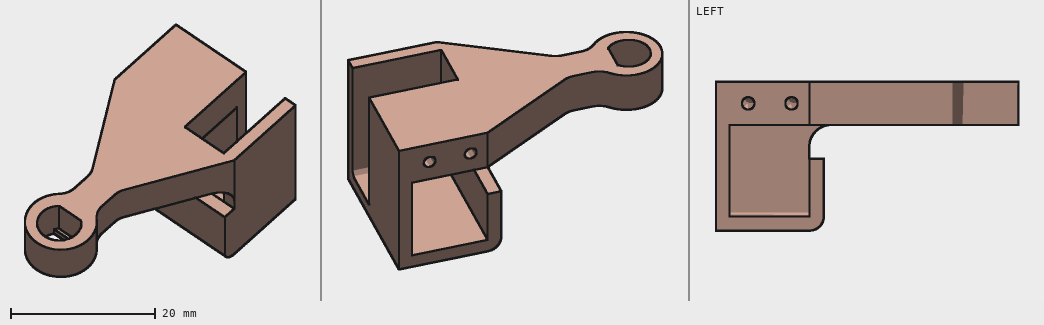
import cadquery as cq
import math

width = 22.0
length = 42.05
height = 20.7

plate_thickness = 6.0
shoulder_y = -13.0
taper_angle = math.radians(30)
neck_width = 5.0
ring_diameter = 10.0
blend_radius = 3.0

bore_diameter = 6.15
bore_offset = 0.35
flat_y = -35.05
ledge_y = -35.6
ledge_height = 1.0

rear_wall = 1.95
end_wall = 1.95
floor_thickness = 2.0
lip_thickness = 2.0
lip_height = 10.0
channel_depth = 15.0
corner_radius = 2.0
floor_fillet = 1.0

notch_width = 7.15

pilot_diameter = 1.72
pilot_depth = 5.9
pilot_tip_angle = math.radians(118)
pilot_positions_y = (-4.5, -10.5)

half_width = width / 2
plate_bottom = height - plate_thickness
ring_radius = ring_diameter / 2
ring_y = -length + ring_radius
end_wall_x = half_width - end_wall
notch_x = end_wall_x - notch_width
lip_inner_y = -channel_depth + lip_thickness


def box(x_range, y_range, z_range):
    """Box spanning the given (low, high) limits."""
    size = [high - low for low, high in (x_range, y_range, z_range)]
    corner = (x_range[0], y_range[0], z_range[0])
    return cq.Workplane("XY").box(*size, centered=False).translate(corner)


def arm_outline():
    """Closed plan outline: square shoulders, taper, neck and ring with tangent blends."""
    neck_x = neck_width / 2
    blend_x = neck_x + blend_radius

    taper_end_x = blend_x - blend_radius * math.cos(taper_angle)
    taper_end_y = shoulder_y - (half_width - taper_end_x) / math.tan(taper_angle)
    neck_top_y = taper_end_y - blend_radius * math.sin(taper_angle)
    upper_mid_x = blend_x - blend_radius * math.cos(taper_angle / 2)
    upper_mid_y = neck_top_y + blend_radius * math.sin(taper_angle / 2)

    center_distance = blend_radius + ring_radius
    ring_angle = math.acos(blend_x / center_distance)
    neck_bottom_y = ring_y + center_distance * math.sin(ring_angle)
    lower_mid_x = blend_x - blend_radius * math.cos(ring_angle / 2)
    lower_mid_y = neck_bottom_y - blend_radius * math.sin(ring_angle / 2)
    contact_x = ring_radius * math.cos(ring_angle)
    contact_y = ring_y + ring_radius * math.sin(ring_angle)

    return (
        cq.Workplane("XY")
        .moveTo(-half_width, 0)
        .lineTo(half_width, 0)
        .lineTo(half_width, shoulder_y)
        .lineTo(taper_end_x, taper_end_y)
        .threePointArc((upper_mid_x, upper_mid_y), (neck_x, neck_top_y))
        .lineTo(neck_x, neck_bottom_y)
        .threePointArc((lower_mid_x, lower_mid_y), (contact_x, contact_y))
        .threePointArc((0, -length), (-contact_x, contact_y))
        .threePointArc((-lower_mid_x, lower_mid_y), (-neck_x, neck_bottom_y))
        .lineTo(-neck_x, neck_top_y)
        .threePointArc((-upper_mid_x, upper_mid_y), (-taper_end_x, taper_end_y))
        .lineTo(-half_width, shoulder_y)
        .close()
    )


def arm_plate():
    return arm_outline().extrude(plate_thickness).translate((0, 0, plate_bottom))


def channel():
    """J-shaped rear wall, floor and front lip running the full width."""
    x_range = (-half_width, half_width)
    outer = box(x_range, (-channel_depth, 0), (0, plate_bottom))
    outer = outer.edges("|X and <Y and <Z").fillet(corner_radius)
    inner = box(x_range, (lip_inner_y, -rear_wall), (floor_thickness, plate_bottom))
    above_lip = box(x_range, (-channel_depth, lip_inner_y), (lip_height, plate_bottom))
    return outer.cut(inner).cut(above_lip)


def end_closure():
    """Wall closing the +X end, blended into the plate and trimmed to its outline."""
    blend_edge_y = shoulder_y - blend_radius
    blend_edge_z = plate_bottom - blend_radius
    arc_offset = blend_radius * (1 - math.sqrt(0.5))
    wall = (
        cq.Workplane("YZ")
        .moveTo(0, 0)
        .lineTo(0, plate_bottom)
        .lineTo(blend_edge_y, plate_bottom)
        .threePointArc((shoulder_y - arc_offset, plate_bottom - arc_offset), (shoulder_y, blend_edge_z))
        .lineTo(shoulder_y, 0)
        .close()
        .extrude(end_wall)
        .translate((end_wall_x, 0, 0))
    )
    return wall.intersect(arm_outline().extrude(plate_bottom))


def floor_blend():
    """Concave fillet between the floor and the end wall."""
    x_start = end_wall_x - floor_fillet
    z_end = floor_thickness + floor_fillet
    arc_run = floor_fillet * math.sqrt(0.5)
    return (
        cq.Workplane("XZ")
        .moveTo(x_start, floor_thickness)
        .threePointArc((x_start + arc_run, z_end - arc_run), (end_wall_x, z_end))
        .lineTo(end_wall_x, floor_thickness)
        .close()
        .extrude(-lip_inner_y)
    )


def notch():
    return box((notch_x, end_wall_x), (shoulder_y, 0), (floor_thickness, height))


def ring_bore():
    """Round bore limited by a rear flat, leaving a ledge at the bottom of the flat."""
    bore = (
        cq.Workplane("XY", origin=(0, ring_y - bore_offset, plate_bottom))
        .circle(bore_diameter / 2)
        .extrude(plate_thickness)
    )
    x_range = (-ring_radius, ring_radius)
    ledge_top = plate_bottom + ledge_height
    through_region = box(x_range, (-length, ledge_y), (plate_bottom, height))
    flat_region = box(x_range, (ledge_y, flat_y), (ledge_top, height))
    return bore.intersect(through_region.union(flat_region))


def pilot_hole(y):
    """Blind drilled hole with a conical tip, entering from the -X side."""
    radius = pilot_diameter / 2
    tip_length = radius / math.tan(pilot_tip_angle / 2)
    return (
        cq.Workplane("XY")
        .polyline([(0, 0), (pilot_depth + tip_length, 0), (pilot_depth, radius), (0, radius)])
        .close()
        .revolve(360, (0, 0), (1, 0))
        .translate((-half_width, y, height - plate_thickness / 2))
    )


result = arm_plate().union(channel()).union(end_closure())
result = result.cut(notch()).union(floor_blend()).cut(ring_bore())
for pilot_y in pilot_positions_y:
    result = result.cut(pilot_hole(pilot_y))